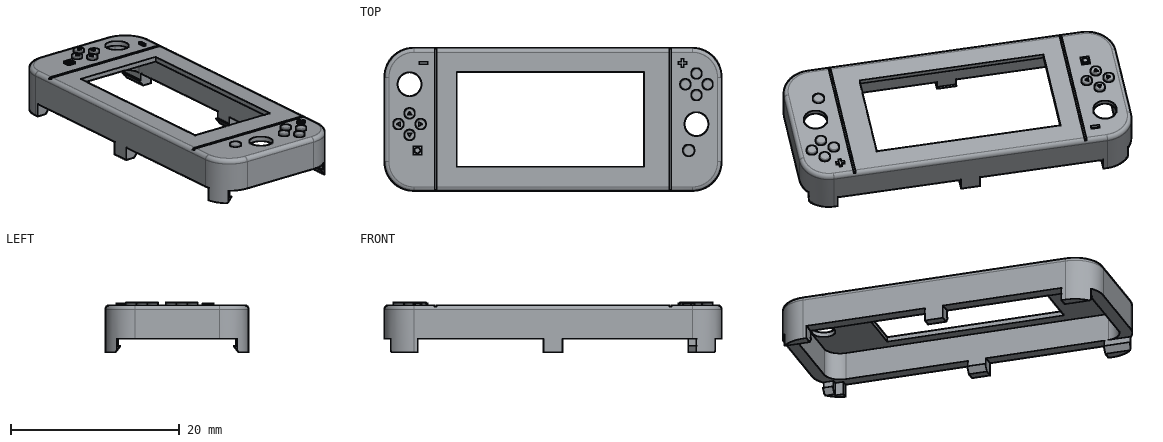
import cadquery as cq

LENGTH = 40.0
WIDTH = 17.0
CORNER_RADIUS = 3.5
TOP_Z = 5.6
RIM_Z = 1.6
TOP_EDGE_RADIUS = 0.5
WALL = 1.5
PLATE_THICKNESS = 0.6

WINDOW_LENGTH = 22.15
WINDOW_WIDTH = 11.2
WINDOW_X = -0.3

GROOVE_X = 13.9
GROOVE_WIDTH = 0.25
GROOVE_DEPTH = 0.15

LEG_INNER_X = 16.0
LEG_OUTER_X = 19.25
MIDDLE_LEG_WIDTH = 2.3
HOOK_FOOT = 1.2
HOOK_REACH = 1.8
HOOK_Z = 0.75
NOTCH_LENGTH = 1.0
NOTCH_LEG_THICKNESS = 0.9
NOTCH_POCKET_LENGTH = 1.0

CONTROL_X = 17.0
UPPER_CONTROL_Y = 4.15
LOWER_CONTROL_Y = -0.55
STICK_HOLE_DIAMETER = 2.8
BUTTON_DIAMETER = 1.3
BUTTON_HEIGHT = 0.3
BUTTON_PITCH_X = 1.3
BUTTON_PITCH_Y = 1.3
BUTTON_EDGE_RADIUS = 0.1
ARROW_LENGTH = 0.4
ARROW_WIDTH = 0.5
ARROW_DEPTH = 0.1

KEY_HEIGHT = 0.2
KEY_SIZE = 1.0
KEY_BAR_WIDTH = 0.3
SIGN_KEY_X = 15.35
SIGN_KEY_Y = 6.7
LOW_KEY_X = 16.1
LOW_KEY_Y = -3.7
HOME_DIAMETER = 1.4
CAPTURE_DIMPLE_DIAMETER = 0.7
CAPTURE_DIMPLE_DEPTH = 0.1


def block(x0, x1, y0, y1, z0, z1):
    """Box between two opposite corners."""
    return cq.Workplane("XY").box(x1 - x0, y1 - y0, z1 - z0, centered=False).translate((x0, y0, z0))


def rounded_slab(inset, z0, z1):
    """Slab with the shell outline moved inward by inset."""
    return (
        cq.Workplane("XY", origin=(0, 0, z0))
        .rect(LENGTH - 2 * inset, WIDTH - 2 * inset)
        .extrude(z1 - z0)
        .edges("|Z")
        .fillet(CORNER_RADIUS - inset)
    )


def make_shell():
    outer = rounded_slab(0, RIM_Z, TOP_Z).faces(">Z").edges().fillet(TOP_EDGE_RADIUS)
    return outer.cut(rounded_slab(WALL, RIM_Z, TOP_Z - PLATE_THICKNESS))


def make_front_leg(x0, x1):
    """Hooked leg on the front (-Y) wall from x0 to x1, trimmed to the shell outline."""
    front = -WIDTH / 2
    profile = [
        (front, RIM_Z),
        (front, 0),
        (front + HOOK_FOOT, 0),
        (front + HOOK_REACH, HOOK_Z),
        (front + WALL, HOOK_Z),
        (front + WALL, RIM_Z),
    ]
    leg = cq.Workplane("YZ", origin=(x0, 0, 0)).polyline(profile).close().extrude(x1 - x0)
    return leg.intersect(rounded_slab(0, 0, RIM_Z))


def make_legs():
    left_leg = make_front_leg(-LEG_OUTER_X, -LEG_INNER_X)
    middle_leg = make_front_leg(-MIDDLE_LEG_WIDTH / 2, MIDDLE_LEG_WIDTH / 2)
    right_leg = left_leg.mirror("YZ")
    back_legs = [leg.mirror("XZ") for leg in (left_leg, middle_leg, right_leg)]

    front = -WIDTH / 2
    notch_end = LEG_INNER_X + NOTCH_LENGTH
    notch = block(LEG_INNER_X, notch_end, front, 0, 0, RIM_Z)
    pocket = block(notch_end, notch_end + NOTCH_POCKET_LENGTH, front + NOTCH_LEG_THICKNESS, 0, 0, RIM_Z)
    return [left_leg, middle_leg, right_leg.cut(notch).cut(pocket)] + back_legs


def top_plane(x, y):
    return cq.Workplane("XY", origin=(x, y, TOP_Z))


def make_button(x, y, diameter, height):
    button = top_plane(x, y).circle(diameter / 2).extrude(height)
    return button.faces(">Z").edges().fillet(BUTTON_EDGE_RADIUS)


def make_button_cluster(x, y, with_arrows):
    """Four buttons in a cross; the arrows, if any, are engraved and point outward."""
    offsets = [(BUTTON_PITCH_X, 0), (0, BUTTON_PITCH_Y), (-BUTTON_PITCH_X, 0), (0, -BUTTON_PITCH_Y)]
    buttons = []
    for quarter_turn, (dx, dy) in enumerate(offsets):
        button = make_button(x + dx, y + dy, BUTTON_DIAMETER, BUTTON_HEIGHT)
        if with_arrows:
            button = button.cut(make_arrow(x + dx, y + dy, 90 * quarter_turn))
        buttons.append(button)
    return buttons


def make_arrow(x, y, angle):
    """Triangular cutter in the top of a button, pointing along +X before it is turned by angle."""
    tail = -ARROW_LENGTH / 2
    arrow = (
        cq.Workplane("XY")
        .polyline([(tail, -ARROW_WIDTH / 2), (tail, ARROW_WIDTH / 2), (-tail, 0)])
        .close()
        .extrude(ARROW_DEPTH)
    )
    floor_z = TOP_Z + BUTTON_HEIGHT - ARROW_DEPTH
    return arrow.rotate((0, 0, 0), (0, 0, 1), angle).translate((x, y, floor_z))


def make_small_keys():
    minus = top_plane(-SIGN_KEY_X, SIGN_KEY_Y).rect(KEY_SIZE, KEY_BAR_WIDTH).extrude(KEY_HEIGHT)
    plus_across = minus.mirror("YZ")
    plus_upright = top_plane(SIGN_KEY_X, SIGN_KEY_Y).rect(KEY_BAR_WIDTH, KEY_SIZE).extrude(KEY_HEIGHT)
    capture = top_plane(-LOW_KEY_X, LOW_KEY_Y).rect(KEY_SIZE, KEY_SIZE).extrude(KEY_HEIGHT)
    capture = capture.faces(">Z").workplane().hole(CAPTURE_DIMPLE_DIAMETER, CAPTURE_DIMPLE_DEPTH)
    home = make_button(LOW_KEY_X, LOW_KEY_Y, HOME_DIAMETER, KEY_HEIGHT)
    return [minus, plus_across.union(plus_upright), capture, home]


def cut_top_openings(body):
    window = top_plane(WINDOW_X, 0).rect(WINDOW_LENGTH, WINDOW_WIDTH).extrude(-PLATE_THICKNESS)
    grooves = (
        top_plane(0, 0)
        .pushPoints([(-GROOVE_X, 0), (GROOVE_X, 0)])
        .rect(GROOVE_WIDTH, WIDTH)
        .extrude(-GROOVE_DEPTH)
    )
    stick_holes = (
        top_plane(0, 0)
        .pushPoints([(-CONTROL_X, UPPER_CONTROL_Y), (CONTROL_X, LOWER_CONTROL_Y)])
        .circle(STICK_HOLE_DIAMETER / 2)
        .extrude(-PLATE_THICKNESS)
    )
    return body.cut(window).cut(grooves).cut(stick_holes)


raised_parts = (
    make_button_cluster(-CONTROL_X, LOWER_CONTROL_Y, with_arrows=True)
    + make_button_cluster(CONTROL_X, UPPER_CONTROL_Y, with_arrows=False)
    + make_small_keys()
)

result = cut_top_openings(make_shell())
for part in make_legs() + raised_parts:
    result = result.union(part)